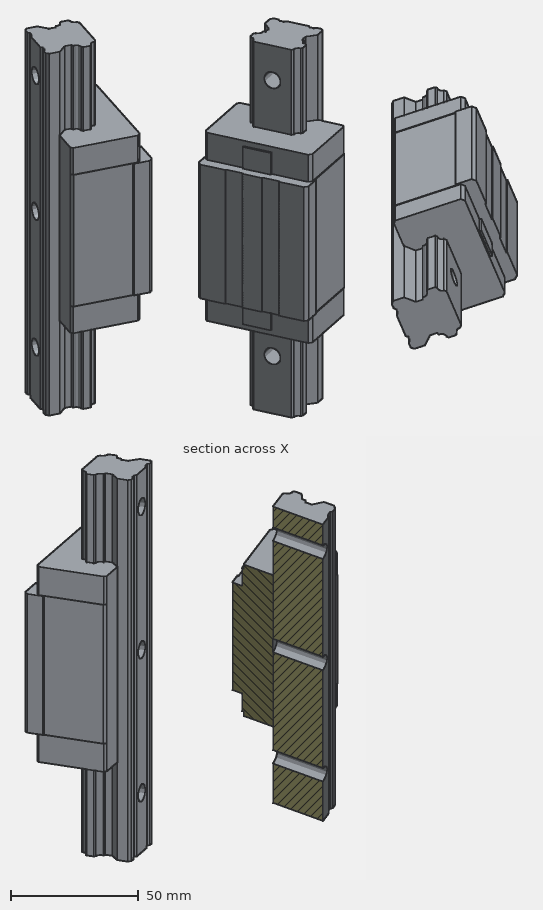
import cadquery as cq
import math

RAIL_LENGTH = 160.0
RAIL_HEIGHT = 22.0
RAIL_HALF_WIDTH = 11.5
RAIL_FOOT_CHAMFER = 1.1
FOOT_TOP = 5.6
NECK_HALF_WIDTH = 8.0
NECK_TOP = 12.0
NECK_STEP_RISE = 0.3
HEAD_HALF_WIDTH = 9.0
HEAD_CHAMFER = 0.8
LIP_TOP = 18.5
LIP_BOTTOM = 15.5
LIP_CHAMFER = 0.6
GROOVE_MOUTH = RAIL_HALF_WIDTH - LIP_CHAMFER
GROOVE_RADIUS = GROOVE_MOUTH - HEAD_HALF_WIDTH

RELIEF_INNER = 5.0
RELIEF_OUTER = 8.3
RELIEF_DEPTH = 0.8
RELIEF_INNER_SLOPE = 0.6

HOLE_DIAMETER = 7.0
HOLE_PITCH = 60.0
HOLE_COUNT = 3
FIRST_HOLE_FROM_END = 25.0

CARRIAGE_WIDTH = 48.0
CARRIAGE_TOP = 40.0
CARRIAGE_BOTTOM = 5.5
CARRIAGE_CENTER_Z = 2.0
BLOCK_LENGTH = 58.2
BLOCK_TOP_CHAMFER = 1.5
BLOCK_BOTTOM_CHAMFER = 1.0
SIDE_STEP = 0.4
SIDE_STEP_Y = 31.8
RECESS_INNER = 4.3
RECESS_OUTER = 11.7
RECESS_DEPTH = 0.5

CAP_LENGTH = 11.8
CAP_WIDTH = 46.7
CAP_TOP = 35.0
CAP_TOP_CHAMFER = 1.3
CAP_BOTTOM_CHAMFER = 1.0
TAB_WIDTH = 12.2
TAB_HEIGHT = 0.8
TAB_SETBACK = 2.4


def rail_profile():
    upper_groove_y = LIP_TOP + LIP_CHAMFER + GROOVE_RADIUS
    lower_groove_y = LIP_BOTTOM - LIP_CHAMFER - GROOVE_RADIUS
    arc_offset = GROOVE_RADIUS * math.sqrt(0.5)
    flank_run = RAIL_HALF_WIDTH - NECK_HALF_WIDTH
    half = (
        cq.Workplane("XY")
        .moveTo(0, 0)
        .lineTo(RELIEF_INNER, 0)
        .lineTo(RELIEF_INNER + RELIEF_INNER_SLOPE, RELIEF_DEPTH)
        .lineTo(RELIEF_OUTER - RELIEF_DEPTH, RELIEF_DEPTH)
        .lineTo(RELIEF_OUTER, 0)
        .lineTo(RAIL_HALF_WIDTH - RAIL_FOOT_CHAMFER, 0)
        .lineTo(RAIL_HALF_WIDTH, RAIL_FOOT_CHAMFER)
        .lineTo(RAIL_HALF_WIDTH, FOOT_TOP)
        .lineTo(NECK_HALF_WIDTH, FOOT_TOP + flank_run)
        .lineTo(NECK_HALF_WIDTH, NECK_TOP)
        .lineTo(HEAD_HALF_WIDTH, NECK_TOP + NECK_STEP_RISE)
        .lineTo(HEAD_HALF_WIDTH, lower_groove_y)
        .threePointArc(
            (GROOVE_MOUTH - arc_offset, lower_groove_y + arc_offset),
            (GROOVE_MOUTH, LIP_BOTTOM - LIP_CHAMFER),
        )
        .lineTo(RAIL_HALF_WIDTH, LIP_BOTTOM)
        .lineTo(RAIL_HALF_WIDTH, LIP_TOP)
        .lineTo(GROOVE_MOUTH, LIP_TOP + LIP_CHAMFER)
        .threePointArc(
            (GROOVE_MOUTH - arc_offset, upper_groove_y - arc_offset),
            (HEAD_HALF_WIDTH, upper_groove_y),
        )
        .lineTo(HEAD_HALF_WIDTH, RAIL_HEIGHT - HEAD_CHAMFER)
        .lineTo(HEAD_HALF_WIDTH - HEAD_CHAMFER, RAIL_HEIGHT)
        .lineTo(0, RAIL_HEIGHT)
    )
    return half.mirrorY()


def rail_blank():
    return rail_profile().extrude(RAIL_LENGTH).translate((0, 0, -RAIL_LENGTH / 2))


def make_rail():
    rail = rail_blank()
    for index in range(HOLE_COUNT):
        hole_z = -RAIL_LENGTH / 2 + FIRST_HOLE_FROM_END + index * HOLE_PITCH
        hole = cq.Workplane("XZ").center(0, hole_z).circle(HOLE_DIAMETER / 2).extrude(-RAIL_HEIGHT)
        rail = rail.cut(hole)
    return rail


def make_block():
    half_width = CARRIAGE_WIDTH / 2
    lower_half_width = half_width - SIDE_STEP
    recess_floor = CARRIAGE_TOP - RECESS_DEPTH
    half = (
        cq.Workplane("XY")
        .moveTo(0, CARRIAGE_BOTTOM)
        .lineTo(lower_half_width - BLOCK_BOTTOM_CHAMFER, CARRIAGE_BOTTOM)
        .lineTo(lower_half_width, CARRIAGE_BOTTOM + BLOCK_BOTTOM_CHAMFER)
        .lineTo(lower_half_width, SIDE_STEP_Y - SIDE_STEP)
        .lineTo(half_width, SIDE_STEP_Y)
        .lineTo(half_width, CARRIAGE_TOP - BLOCK_TOP_CHAMFER)
        .lineTo(half_width - BLOCK_TOP_CHAMFER, CARRIAGE_TOP)
        .lineTo(RECESS_OUTER, CARRIAGE_TOP)
        .lineTo(RECESS_OUTER, recess_floor)
        .lineTo(RECESS_INNER, recess_floor)
        .lineTo(RECESS_INNER, CARRIAGE_TOP)
        .lineTo(0, CARRIAGE_TOP)
        .mirrorY()
    )
    return half.extrude(BLOCK_LENGTH).translate((0, 0, CARRIAGE_CENTER_Z - BLOCK_LENGTH / 2))


def make_caps():
    length = BLOCK_LENGTH + 2 * CAP_LENGTH
    cap_height = CAP_TOP - CARRIAGE_BOTTOM
    caps = (
        cq.Workplane("XY")
        .box(CAP_WIDTH, cap_height, length)
        .edges("|Z and >Y")
        .chamfer(CAP_TOP_CHAMFER)
        .edges("|Z and <Y")
        .chamfer(CAP_BOTTOM_CHAMFER)
        .translate((0, CARRIAGE_BOTTOM + cap_height / 2, CARRIAGE_CENTER_Z))
    )
    tabs = (
        cq.Workplane("XY")
        .box(TAB_WIDTH, 2 * TAB_HEIGHT, length - 2 * TAB_SETBACK)
        .translate((0, CAP_TOP, CARRIAGE_CENTER_Z))
    )
    return caps.union(tabs)


def make_carriage():
    return make_block().union(make_caps()).cut(rail_blank())


rail = make_rail()
carriage = make_carriage()
result = cq.Compound.makeCompound([rail.val(), *carriage.vals()])